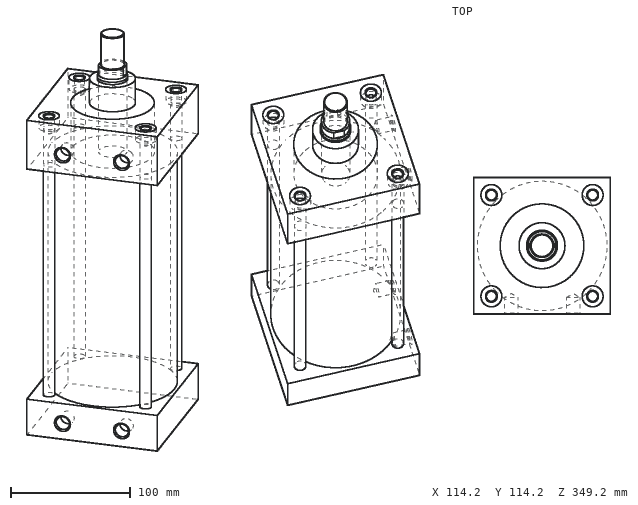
import cadquery as cq
import math

total_height = 349.2
cap_width = 114.2
rear_cap_height = 32.5
front_cap_top = 286.0
front_cap_height = 44.5
front_cap_bottom = front_cap_top - front_cap_height

barrel_radius = 54.0
tie_rod_offset = 42.3
tie_rod_radius = 5.0
tie_head_radius = 8.7
tie_head_height = 10.5
tie_head_bottom = front_cap_top - tie_head_height
tie_rod_points = [(sx * tie_rod_offset, sy * tie_rod_offset) for sx in (-1, 1) for sy in (-1, 1)]

socket_radius = 4.2
socket_mouth_radius = 5.0
socket_depth = 14.0

port_offset = 26.0
port_radius = 5.75
port_mouth_radius = 7.0
port_depth = 14.0
front_port_height = 258.5
rear_port_height = 14.3
drill_point_angle = 118.0

flange_radius = 35.0
nose_radius = 19.2
nose_top = 308.0
lip_radius = 13.0
lip_straight_height = 2.0
lip_taper_height = 2.0
lip_top = nose_top + lip_straight_height + lip_taper_height

rod_radius = 12.0
thread_radius = 9.8
thread_bottom = 320.5
thread_chamfer = 0.7
flats_width = 22.0


def cylinder(radius, bottom, top):
    """Upright cylinder on the Z axis between two heights."""
    return cq.Workplane("XY").workplane(offset=bottom).circle(radius).extrude(top - bottom)


def cylinders(points, radius, bottom, top):
    """Upright cylinders at several XY points between two heights."""
    return cq.Workplane("XY").workplane(offset=bottom).pushPoints(points).circle(radius).extrude(top - bottom)


def block(bottom, height):
    """Square end-cap block standing on the given height."""
    return cq.Workplane("XY").workplane(offset=bottom).rect(cap_width, cap_width).extrude(height)


def drilled_hole(radius, mouth_radius, depth):
    """Cutter for a blind hole going down from the origin: 45-degree mouth, straight bore, drill point."""
    point_depth = radius / math.tan(math.radians(drill_point_angle / 2))
    mouth_depth = mouth_radius - radius
    outline = [
        (0, 0),
        (mouth_radius, 0),
        (radius, -mouth_depth),
        (radius, -depth),
        (0, -depth - point_depth),
    ]
    return cq.Workplane("XZ").polyline(outline).close().revolve(360, (0, 0), (0, 1))


def cut_ports(cap, height):
    """Cut the pair of ports into the -Y face of a cap."""
    port = drilled_hole(port_radius, port_mouth_radius, port_depth).rotate((0, 0, 0), (1, 0, 0), 90)
    for x in (-port_offset, port_offset):
        cap = cap.cut(port.translate((x, -cap_width / 2, height)))
    return cap


def make_rear_body():
    """Rear cap with the barrel and the four tie rods standing on it."""
    body = cut_ports(block(0, rear_cap_height), rear_port_height)
    body = body.union(cylinder(barrel_radius, rear_cap_height, front_cap_bottom))
    body = body.union(cylinders(tie_rod_points, tie_rod_radius, rear_cap_height, tie_head_bottom))
    body = body.union(cylinders(tie_rod_points, tie_head_radius, tie_head_bottom, front_cap_top))
    socket = drilled_hole(socket_radius, socket_mouth_radius, socket_depth)
    for x, y in tie_rod_points:
        body = body.cut(socket.translate((x, y, front_cap_top)))
    return body


def make_front_cap():
    """Front cap with a bore for the gland and counterbored holes for the tie rods."""
    cap = cut_ports(block(front_cap_bottom, front_cap_height), front_port_height)
    cap = cap.cut(cylinder(flange_radius, front_cap_bottom, front_cap_top))
    cap = cap.cut(cylinders(tie_rod_points, tie_rod_radius, front_cap_bottom, front_cap_top))
    return cap.cut(cylinders(tie_rod_points, tie_head_radius, tie_head_bottom, front_cap_top))


def make_gland():
    """Rod gland: flange seated in the front cap, nose above it and a tapered lip around the rod."""
    outline = [
        (rod_radius, front_cap_bottom),
        (flange_radius, front_cap_bottom),
        (flange_radius, front_cap_top),
        (nose_radius, front_cap_top),
        (nose_radius, nose_top),
        (lip_radius, nose_top),
        (lip_radius, nose_top + lip_straight_height),
        (rod_radius, lip_top),
    ]
    return cq.Workplane("XZ").polyline(outline).close().revolve(360, (0, 0), (0, 1))


def make_piston_rod():
    """Piston rod with wrench flats on its +X and -X sides and a threaded end."""
    shank = cylinder(rod_radius, front_cap_bottom, thread_bottom)
    flats_height = thread_bottom - lip_top
    outside_flats = (
        cq.Workplane("XY")
        .workplane(offset=lip_top)
        .rect(2 * rod_radius, 2 * rod_radius)
        .rect(flats_width, 2 * rod_radius)
        .extrude(flats_height)
    )
    thread = cylinder(thread_radius, thread_bottom, total_height).faces(">Z").chamfer(thread_chamfer)
    return shank.cut(outside_flats).union(thread)


rear_body = make_rear_body()
front_cap = make_front_cap()
gland = make_gland()
piston_rod = make_piston_rod()

result = cq.Compound.makeCompound([rear_body.val(), front_cap.val(), gland.val(), piston_rod.val()])